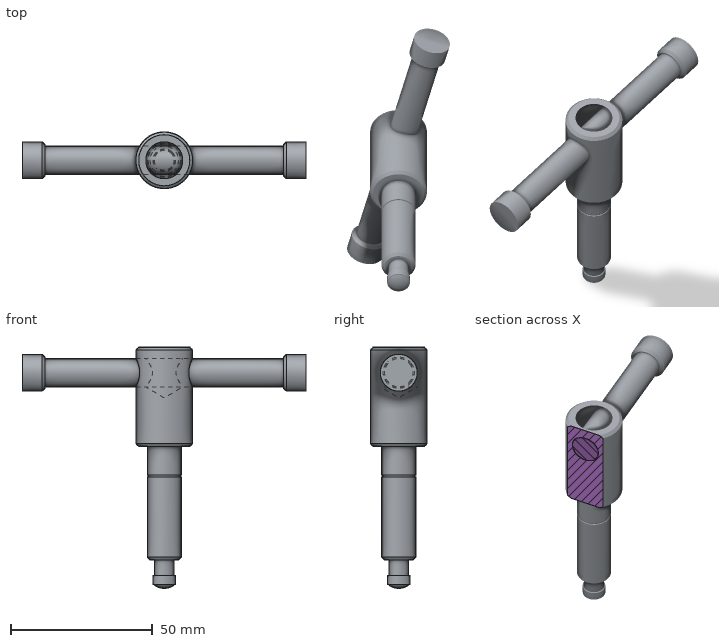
import cadquery as cq
import math

TOTAL_HEIGHT = 85.0
HEAD_DIAMETER = 20.0
HEAD_HEIGHT = 35.0
HEAD_CHAMFER = 1.0
SHANK_DIAMETER = 12.0
SHANK_LENGTH = 40.0
SHANK_CHAMFER = 1.0
GROOVE_OFFSET = 10.0
GROOVE_WIDTH = 0.8
GROOVE_DEPTH = 0.3
NECK_DIAMETER = 7.0
TIP_DIAMETER = 8.0
TIP_HEIGHT = 3.1
DOME_DIAMETER = 7.5
DOME_HEIGHT = 1.4

RECESS_DIAMETER = 13.0
DRILL_POINT_ANGLE = 118.0

BAR_LENGTH = 100.0
BAR_DIAMETER = 10.0
BAR_DEPTH = 9.0
KNOB_DIAMETER = 13.0
KNOB_LENGTH = 8.0
KNOB_CHAMFER = 1.0

head_bottom = TOTAL_HEIGHT - HEAD_HEIGHT
shank_bottom = head_bottom - SHANK_LENGTH
tip_top = DOME_HEIGHT + TIP_HEIGHT
bar_z = TOTAL_HEIGHT - BAR_DEPTH


def cylinder(diameter, bottom, top):
    """Upright cylinder on the Z axis."""
    return cq.Workplane("XY").workplane(offset=bottom).circle(diameter / 2).extrude(top - bottom)


def bar_cylinder(diameter, start, end):
    """Cylinder on the bar axis, from X = start to X = end."""
    return (
        cq.Workplane("YZ", origin=(start, 0, bar_z))
        .circle(diameter / 2)
        .extrude(end - start)
    )


def make_dome():
    """Spherical cap that closes the tip."""
    radius = DOME_DIAMETER / 2
    sphere_radius = (radius**2 + DOME_HEIGHT**2) / (2 * DOME_HEIGHT)
    sphere = cq.Workplane("XY").sphere(sphere_radius).translate((0, 0, sphere_radius))
    return sphere.intersect(cylinder(DOME_DIAMETER, 0, DOME_HEIGHT))


def make_groove():
    """Shallow ring around the shank."""
    top = head_bottom - GROOVE_OFFSET
    bottom = top - GROOVE_WIDTH
    outer = cylinder(SHANK_DIAMETER, bottom, top)
    return outer.cut(cylinder(SHANK_DIAMETER - 2 * GROOVE_DEPTH, bottom, top))


def make_recess():
    """Round recess, as deep as the underside of the bar, with a drill-point floor."""
    wall_bottom = bar_z - BAR_DIAMETER / 2
    radius = RECESS_DIAMETER / 2
    point_depth = radius / math.tan(math.radians(DRILL_POINT_ANGLE / 2))
    half_profile = (
        cq.Workplane("XZ")
        .moveTo(0, TOTAL_HEIGHT)
        .lineTo(radius, TOTAL_HEIGHT)
        .lineTo(radius, wall_bottom)
        .lineTo(0, wall_bottom - point_depth)
        .close()
    )
    return half_profile.revolve(360, (0, 0, 0), (0, 1, 0))


def make_spindle():
    head = cylinder(HEAD_DIAMETER, head_bottom, TOTAL_HEIGHT).edges("%CIRCLE").chamfer(HEAD_CHAMFER)
    shank = cylinder(SHANK_DIAMETER, shank_bottom, head_bottom).faces("<Z").chamfer(SHANK_CHAMFER)
    neck = cylinder(NECK_DIAMETER, tip_top, shank_bottom)
    tip = cylinder(TIP_DIAMETER, DOME_HEIGHT, tip_top)
    solid = head.union(shank.cut(make_groove())).union(neck).union(tip).union(make_dome())
    cross_hole = bar_cylinder(BAR_DIAMETER, -HEAD_DIAMETER / 2, HEAD_DIAMETER / 2)
    return solid.cut(make_recess()).cut(cross_hole)


def make_bar():
    half = BAR_LENGTH / 2
    left_knob = bar_cylinder(KNOB_DIAMETER, -half, -half + KNOB_LENGTH).faces(">X").chamfer(KNOB_CHAMFER)
    rod = bar_cylinder(BAR_DIAMETER, -half + KNOB_LENGTH, half - KNOB_LENGTH)
    return rod.union(left_knob).union(left_knob.mirror("YZ"))


spindle = make_spindle()
bar = make_bar()
result = cq.Compound.makeCompound([spindle.val(), bar.val()])